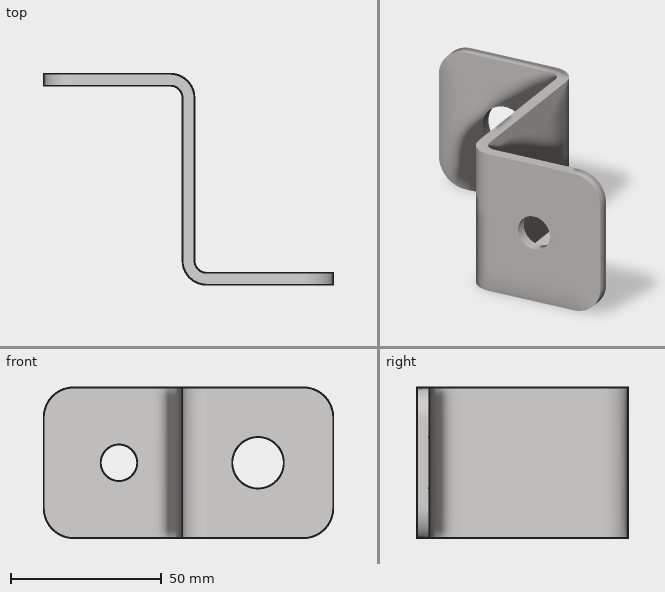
import cadquery as cq

length = 96.0
depth = 70.0
height = 50.0

thickness = 4.0
inner_bend_radius = 4.0
outer_bend_radius = inner_bend_radius + thickness

corner_radius = 10.0
hole_offset = 23.0
small_hole_diameter = 12.0
large_hole_diameter = 17.0

half_length = length / 2
half_depth = depth / 2
half_web = thickness / 2
flange_inner_y = half_depth - thickness


def bent_sheet():
    """Z profile in plan: left flange at the back, central web, right flange at the front."""
    profile = [
        (-half_length, half_depth),
        (half_web, half_depth),
        (half_web, -flange_inner_y),
        (half_length, -flange_inner_y),
        (half_length, -half_depth),
        (-half_web, -half_depth),
        (-half_web, flange_inner_y),
        (-half_length, flange_inner_y),
    ]
    sheet = cq.Workplane("XY").polyline(profile).close().extrude(height / 2, both=True)

    for side in (-1, 1):
        outer_edge = cq.NearestToPointSelector((side * half_web, side * half_depth, 0))
        inner_edge = cq.NearestToPointSelector((-side * half_web, side * flange_inner_y, 0))
        sheet = sheet.edges("|Z").edges(outer_edge).fillet(outer_bend_radius)
        sheet = sheet.edges("|Z").edges(inner_edge).fillet(inner_bend_radius)
    return sheet


def round_flange_corners(sheet):
    """Round the four free corners of the two flanges."""
    return sheet.faces("<X or >X").edges("|Y").fillet(corner_radius)


def flange_hole(x, diameter):
    """Cutter along Y, long enough to pass through either flange."""
    return cq.Workplane("XZ").center(x, 0).circle(diameter / 2).extrude(depth, both=True)


result = round_flange_corners(bent_sheet())
for hole_x, hole_diameter in (
    (-hole_offset, small_hole_diameter),
    (hole_offset, large_hole_diameter),
):
    result = result.cut(flange_hole(hole_x, hole_diameter))